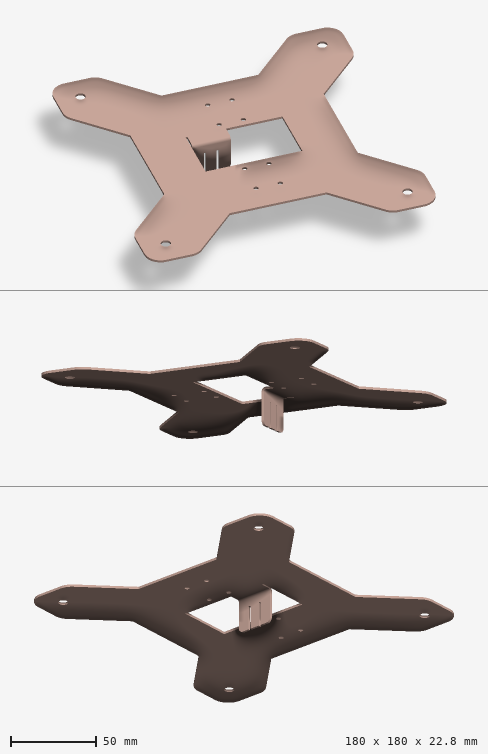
import cadquery as cq

THICKNESS = 1.5
OVERALL_SIZE = 180.0
BODY_SIZE = 120.0
BODY_EDGE = 60.0
TIP_RADIUS = 10.0

CORNER_HOLE_DIAMETER = 6.0
CORNER_HOLE_SPACING = 150.0
SMALL_HOLE_DIAMETER = 3.0
SMALL_HOLE_SPACING_X = 20.0
SMALL_HOLE_SPACING_Y = 15.0
SMALL_HOLE_GROUP_OFFSET = 32.5

WINDOW_WIDTH = 35.0
WINDOW_LENGTH = 60.0

RELIEF_WIDTH = 1.0
TAB_END_Y = -5.0
TAB_OUTER_X = -9.0
BEND_INNER_RADIUS = 1.0
TOTAL_HEIGHT = 22.75
TAB_CORNER_RADIUS = 3.0
SLOT_WIDTH = 1.5
SLOT_DEPTH = 15.0
SLOT_COUNT = 2

half_size = OVERALL_SIZE / 2
half_body = BODY_SIZE / 2
half_edge = BODY_EDGE / 2
shoulder = half_edge + (half_size - half_body)
bend_outer_radius = BEND_INNER_RADIUS + THICKNESS
bend_start_x = TAB_OUTER_X - bend_outer_radius
bend_center_z = THICKNESS - bend_outer_radius
tab_inner_x = TAB_OUTER_X - THICKNESS
tab_bottom_z = THICKNESS - TOTAL_HEIGHT
tab_start_y = -WINDOW_LENGTH / 2 + RELIEF_WIDTH
tab_width = TAB_END_Y - tab_start_y
slot_pitch = tab_width / (SLOT_COUNT + 1)


def make_plate():
    """Square body with a rounded 45-degree arm at each corner."""
    quarter = [
        (half_body, half_edge),
        (half_size, shoulder),
        (half_size, half_size),
        (shoulder, half_size),
        (half_edge, half_body),
    ]
    outline = []
    for quarter_turn in range(4):
        for x, y in quarter:
            for _ in range(quarter_turn):
                x, y = -y, x
            outline.append((x, y))
    plate = cq.Workplane("XY").polyline(outline).close().extrude(THICKNESS)
    return plate.edges("|Z and (>X or <X or >Y or <Y)").fillet(TIP_RADIUS)


def cut_openings(plate):
    """Central window, corner mounting holes and two groups of small holes."""
    window = cq.Workplane("XY").rect(WINDOW_WIDTH, WINDOW_LENGTH).extrude(THICKNESS)
    corner_holes = (
        cq.Workplane("XY")
        .rect(CORNER_HOLE_SPACING, CORNER_HOLE_SPACING, forConstruction=True)
        .vertices()
        .circle(CORNER_HOLE_DIAMETER / 2)
        .extrude(THICKNESS)
    )
    plate = plate.cut(window).cut(corner_holes)
    for side in (-1, 1):
        small_holes = (
            cq.Workplane("XY", origin=(side * SMALL_HOLE_GROUP_OFFSET, 0, 0))
            .rect(SMALL_HOLE_SPACING_X, SMALL_HOLE_SPACING_Y, forConstruction=True)
            .vertices()
            .circle(SMALL_HOLE_DIAMETER / 2)
            .extrude(THICKNESS)
        )
        plate = plate.cut(small_holes)
    return plate


def make_tab():
    """Sheet-metal tab: flat root, 90-degree bend and a slotted vertical flange."""
    tab = (
        cq.Workplane("XZ", origin=(0, TAB_END_Y, 0))
        .moveTo(-WINDOW_WIDTH / 2, 0)
        .lineTo(bend_start_x, 0)
        .radiusArc((tab_inner_x, bend_center_z), BEND_INNER_RADIUS)
        .lineTo(tab_inner_x, tab_bottom_z)
        .lineTo(TAB_OUTER_X, tab_bottom_z)
        .lineTo(TAB_OUTER_X, bend_center_z)
        .radiusArc((bend_start_x, THICKNESS), -bend_outer_radius)
        .lineTo(-WINDOW_WIDTH / 2, THICKNESS)
        .close()
        .extrude(tab_width)
    )
    tab = tab.faces("<Z").edges("|X").fillet(TAB_CORNER_RADIUS)
    for index in range(SLOT_COUNT):
        slot_center = (
            (tab_inner_x + TAB_OUTER_X) / 2,
            tab_start_y + (index + 1) * slot_pitch,
            tab_bottom_z + SLOT_DEPTH / 2,
        )
        slot = cq.Workplane("XY").box(THICKNESS, SLOT_WIDTH, SLOT_DEPTH).translate(slot_center)
        tab = tab.cut(slot)
    return tab


result = cut_openings(make_plate()).union(make_tab())